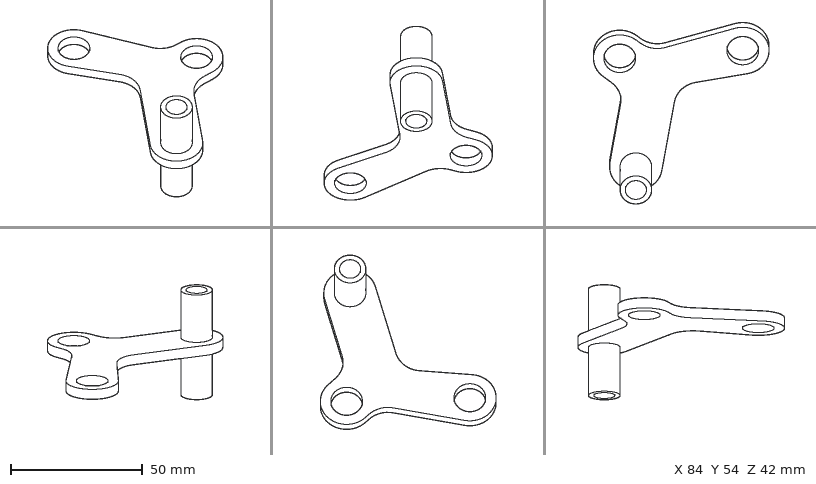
import cadquery as cq
import math

length = 84.0
boss_radius = 10.0
hole_diameter = 12.0
tube_bore = 8.0
tube_height = 42.0
plate_thickness = 4.0
top_boss_y = 34.0
corner_radius = 10.0

left_upper_angle = 33.6
left_lower_angle = 40.0
right_arm_angle = -30.0

boss_x = length / 2 - boss_radius
left_boss = (-boss_x, 0.0)
right_boss = (boss_x, 0.0)
top_boss = (0.0, top_boss_y)


def on_boss(centre, angle):
    """Point on a boss rim at an angle in degrees from +X."""
    a = math.radians(angle)
    return (centre[0] + boss_radius * math.cos(a), centre[1] + boss_radius * math.sin(a))


def height_at(point, angle, x):
    """Y at the given x on the line through a point with the given slope angle."""
    return point[1] + (x - point[0]) * math.tan(math.radians(angle))


def crossing(point_a, angle_a, point_b, angle_b):
    """Point where two sloped lines meet."""
    slope_a = math.tan(math.radians(angle_a))
    slope_b = math.tan(math.radians(angle_b))
    rise = point_b[1] - point_a[1] + slope_b * (point_a[0] - point_b[0])
    x = point_a[0] + rise / (slope_a - slope_b)
    return (x, height_at(point_a, angle_a, x))


def make_plate():
    left_upper = on_boss(left_boss, left_upper_angle + 90)
    left_lower = on_boss(left_boss, left_lower_angle - 90)
    right_upper = on_boss(right_boss, right_arm_angle + 90)
    right_lower = on_boss(right_boss, right_arm_angle - 90)

    left_corner = (-boss_radius, height_at(left_upper, left_upper_angle, -boss_radius))
    right_corner = (boss_radius, height_at(right_upper, right_arm_angle, boss_radius))
    lower_corner = crossing(left_lower, left_lower_angle, right_lower, right_arm_angle)

    plate = (
        cq.Workplane("XY")
        .workplane(offset=-plate_thickness / 2)
        .moveTo(*left_upper)
        .lineTo(*left_corner)
        .lineTo(*on_boss(top_boss, 180))
        .threePointArc(on_boss(top_boss, 90), on_boss(top_boss, 0))
        .lineTo(*right_corner)
        .lineTo(*right_upper)
        .threePointArc(on_boss(right_boss, 0), right_lower)
        .lineTo(*lower_corner)
        .lineTo(*left_lower)
        .threePointArc(on_boss(left_boss, 180), left_upper)
        .close()
        .extrude(plate_thickness)
    )

    for corner in (left_corner, right_corner, lower_corner):
        nearest = cq.selectors.NearestToPointSelector((*corner, 0))
        plate = plate.edges("|Z").edges(nearest).fillet(corner_radius)

    holes = (
        cq.Workplane("XY")
        .pushPoints([left_boss, top_boss, right_boss])
        .circle(hole_diameter / 2)
        .extrude(plate_thickness, both=True)
    )
    return plate.cut(holes)


def make_tube():
    return (
        cq.Workplane("XY")
        .workplane(offset=-tube_height / 2)
        .center(*right_boss)
        .circle(hole_diameter / 2)
        .circle(tube_bore / 2)
        .extrude(tube_height)
    )


plate = make_plate()
tube = make_tube()

result = cq.Compound.makeCompound([plate.solids().val(), tube.val()])